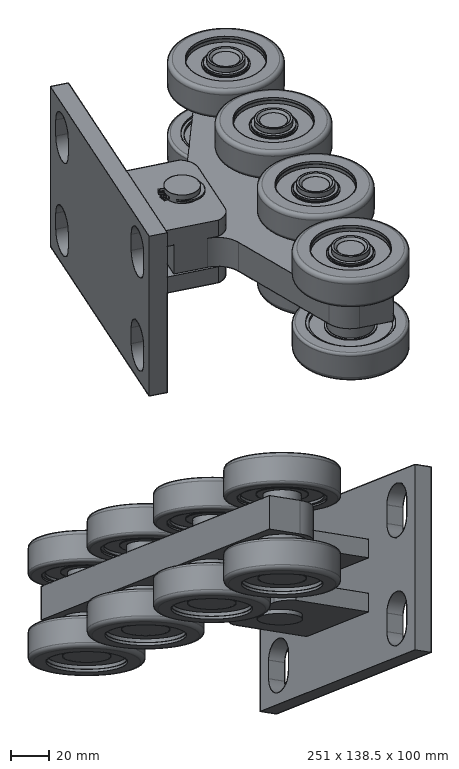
import cadquery as cq

PLATE_LENGTH = 150.5
PLATE_HEIGHT = 100.0
PLATE_THICKNESS = 10.0
SLOT_WIDTH = 19.0
SLOT_LENGTH = 29.0
SLOT_X = 57.5
SLOT_Z = 29.0

FORK_HALF_WIDTH = 30.0
FORK_TIP_Y = 62.0
FORK_TIP_HALF_WIDTH = 20.0
FORK_SHOULDER_Y = 55.0
FORK_HALF_GAP = 9.5
FORK_THICKNESS = 10.0
FORK_OUTER_Z = FORK_HALF_GAP + FORK_THICKNESS

PIN_Y = 45.7
PIN_DIAMETER = 19.0
PIN_TOP_Z = 24.8
PIN_HEAD_DIAMETER = 23.5
PIN_HEAD_HEIGHT = 2.3
RING_DIAMETER = 21.0
RING_OFFSET = 1.5
RING_BOTTOM_Z = 20.8
RING_THICKNESS = 1.0
EAR_WIDTH = 4.0
EAR_ANGLE = 15.0
EAR_REACH = 12.5
EAR_HOLE_DIAMETER = 2.0
EAR_HOLE_REACH = 11.0

ARM_TOP_Z = FORK_HALF_GAP
ARM_THICKNESS = 18.0
ARM_BOTTOM_Z = ARM_TOP_Z - ARM_THICKNESS
ARM_HALF_LENGTH = 111.0
ARM_BACK_Y = 122.5
ARM_END_Y = 93.9
ARM_NECK_Y = 58.7
ARM_FRONT_Y = 30.0
ARM_RADIUS = 15.0

OVERALL_LENGTH = 251.0
OVERALL_DEPTH = 138.5
WHEEL_DIAMETER = 61.0
WHEEL_WIDTH = 17.3
OUTER_EDGE_RADIUS = 2.5
INNER_EDGE_RADIUS = 1.5
UPPER_WHEEL_TOP_Z = 31.4
LOWER_WHEEL_BOTTOM_Z = -32.0
END_WHEEL_X = (OVERALL_LENGTH - WHEEL_DIAMETER) / 2
INNER_WHEEL_X = 32.0
INNER_WHEEL_Y = OVERALL_DEPTH - WHEEL_DIAMETER / 2
END_WHEEL_SETBACK = 3.5
END_WHEEL_Y = INNER_WHEEL_Y - END_WHEEL_SETBACK

OUTER_RECESS_DIAMETER = 42.0
OUTER_RECESS_DEPTH = 3.5
OUTER_LIP_DIAMETER = 42.5
OUTER_LIP_DEPTH = 1.5
INNER_RECESS_DIAMETER = 43.7
INNER_RECESS_DEPTH = 2.5
INNER_LIP_DIAMETER = 47.0
INNER_LIP_DEPTH = 1.0
OUTER_RACE_DIAMETER = 25.3
INNER_RACE_DIAMETER = 27.4
RACE_HEIGHT = 0.5

AXLE_DIAMETER = 20.0
AXLE_TOP_Z = 32.4
SPACER_DIAMETER = 25.0
COLLAR_DIAMETER = 23.5
COLLAR_HEIGHT = 1.5
DIMPLE_DIAMETER = 17.5
DIMPLE_FLOOR_DIAMETER = 14.5
DIMPLE_DEPTH = 1.3


def disc(diameter, bottom_z, top_z, x=0.0, y=0.0):
    """Upright cylinder between two heights."""
    base = cq.Workplane("XY", origin=(x, y, bottom_z))
    return base.circle(diameter / 2).extrude(top_z - bottom_z)


def make_plate():
    plate = cq.Workplane("XY").box(
        PLATE_LENGTH, PLATE_THICKNESS, PLATE_HEIGHT, centered=(True, False, True)
    )
    slot_centres = [(x, z) for x in (-SLOT_X, SLOT_X) for z in (-SLOT_Z, SLOT_Z)]
    slots = (
        cq.Workplane("XZ")
        .pushPoints(slot_centres)
        .slot2D(SLOT_LENGTH, SLOT_WIDTH, 90)
        .extrude(-PLATE_THICKNESS)
    )
    return plate.cut(slots)


def make_fork_lug(bottom_z):
    """Lug whose corner arcs run smoothly into the straight tip."""
    corner_run = FORK_HALF_WIDTH - FORK_TIP_HALF_WIDTH
    corner_drop = FORK_TIP_Y - FORK_SHOULDER_Y
    corner_radius = (corner_run**2 + corner_drop**2) / (2 * corner_drop)
    return (
        cq.Workplane("XY", origin=(0, 0, bottom_z))
        .moveTo(-FORK_HALF_WIDTH, PLATE_THICKNESS)
        .lineTo(-FORK_HALF_WIDTH, FORK_SHOULDER_Y)
        .radiusArc((-FORK_TIP_HALF_WIDTH, FORK_TIP_Y), corner_radius)
        .lineTo(FORK_TIP_HALF_WIDTH, FORK_TIP_Y)
        .radiusArc((FORK_HALF_WIDTH, FORK_SHOULDER_Y), corner_radius)
        .lineTo(FORK_HALF_WIDTH, PLATE_THICKNESS)
        .close()
        .extrude(FORK_THICKNESS)
    )


def make_pivot_pin():
    head_bottom_z = -FORK_OUTER_Z - PIN_HEAD_HEIGHT
    head = disc(PIN_HEAD_DIAMETER, head_bottom_z, -FORK_OUTER_Z, y=PIN_Y)
    return head.union(disc(PIN_DIAMETER, -FORK_OUTER_Z, PIN_TOP_Z, y=PIN_Y))


def make_retaining_ring():
    """Eccentric ring with two pierced ears on its plate side."""
    ring_top_z = RING_BOTTOM_Z + RING_THICKNESS
    ring = disc(RING_DIAMETER, RING_BOTTOM_Z, ring_top_z, y=PIN_Y + RING_OFFSET)
    ear = cq.Workplane("XY", origin=(0, 0, RING_BOTTOM_Z)).box(
        EAR_WIDTH, EAR_REACH, RING_THICKNESS, centered=(True, False, False)
    )
    ear = ear.translate((0, PIN_Y - EAR_REACH, 0))
    hole_y = PIN_Y - EAR_HOLE_REACH
    ear = ear.cut(disc(EAR_HOLE_DIAMETER, RING_BOTTOM_Z, ring_top_z, y=hole_y))
    for angle in (-EAR_ANGLE, EAR_ANGLE):
        ring = ring.union(ear.rotate((0, PIN_Y, 0), (0, PIN_Y, 1), angle))
    return ring


def make_arm():
    right_side = [
        (ARM_HALF_LENGTH, ARM_BACK_Y),
        (ARM_HALF_LENGTH, ARM_END_Y),
        (FORK_HALF_WIDTH, ARM_NECK_Y),
        (FORK_HALF_WIDTH, ARM_FRONT_Y),
    ]
    left_side = [(-x, y) for x, y in reversed(right_side)]
    arm = (
        cq.Workplane("XY", origin=(0, 0, ARM_BOTTOM_Z))
        .polyline(right_side + left_side)
        .close()
        .extrude(ARM_THICKNESS)
    )
    for x, y in right_side[1:3] + left_side[1:3]:
        corner = cq.selectors.NearestToPointSelector((x, y, ARM_BOTTOM_Z + ARM_THICKNESS / 2))
        arm = arm.edges("|Z").edges(corner).fillet(ARM_RADIUS)
    return arm


def make_wheel():
    """Wheel standing on z = 0 with its outer face up, centred on the Z axis."""
    wheel = disc(WHEEL_DIAMETER, 0, WHEEL_WIDTH)
    wheel = wheel.faces(">Z").edges().fillet(OUTER_EDGE_RADIUS)
    wheel = wheel.faces("<Z").edges().fillet(INNER_EDGE_RADIUS)
    bearing_top_z = WHEEL_WIDTH - OUTER_RECESS_DEPTH
    race_top_z = bearing_top_z + RACE_HEIGHT
    return (
        wheel.cut(disc(OUTER_RECESS_DIAMETER, bearing_top_z, WHEEL_WIDTH))
        .cut(disc(OUTER_LIP_DIAMETER, WHEEL_WIDTH - OUTER_LIP_DEPTH, WHEEL_WIDTH))
        .cut(disc(INNER_RECESS_DIAMETER, 0, INNER_RECESS_DEPTH))
        .cut(disc(INNER_LIP_DIAMETER, 0, INNER_LIP_DEPTH))
        .union(disc(OUTER_RACE_DIAMETER, bearing_top_z, race_top_z))
        .union(disc(INNER_RACE_DIAMETER, INNER_RECESS_DEPTH - RACE_HEIGHT, INNER_RECESS_DEPTH))
    )


def make_wheel_pair():
    """Upper and lower wheel on one axle, centred on the Z axis."""
    upper_bottom_z = UPPER_WHEEL_TOP_Z - WHEEL_WIDTH
    lower_top_z = LOWER_WHEEL_BOTTOM_Z + WHEEL_WIDTH
    upper_wheel = make_wheel().translate((0, 0, upper_bottom_z))
    lower_wheel = make_wheel().mirror("XY").translate((0, 0, lower_top_z))

    bearing_top_z = UPPER_WHEEL_TOP_Z - OUTER_RECESS_DEPTH
    collar = disc(COLLAR_DIAMETER, bearing_top_z, bearing_top_z + COLLAR_HEIGHT)
    spacer = disc(SPACER_DIAMETER, lower_top_z - INNER_RECESS_DEPTH, ARM_BOTTOM_Z)

    axle = disc(AXLE_DIAMETER, ARM_BOTTOM_Z, AXLE_TOP_Z)
    dimple_floor_z = AXLE_TOP_Z - DIMPLE_DEPTH
    dimple = (
        cq.Workplane("XY", origin=(0, 0, dimple_floor_z))
        .circle(DIMPLE_FLOOR_DIAMETER / 2)
        .workplane(offset=DIMPLE_DEPTH)
        .circle(DIMPLE_DIAMETER / 2)
        .loft()
    )
    return upper_wheel.union(lower_wheel).union(collar).union(spacer).union(axle).cut(dimple)


result = make_plate()
for lug_bottom_z in (FORK_HALF_GAP, -FORK_OUTER_Z):
    result = result.union(make_fork_lug(lug_bottom_z))
result = result.union(make_pivot_pin()).union(make_retaining_ring()).union(make_arm())

wheel_pair = make_wheel_pair()
for side in (-1, 1):
    result = result.union(wheel_pair.translate((side * END_WHEEL_X, END_WHEEL_Y, 0)))
    result = result.union(wheel_pair.translate((side * INNER_WHEEL_X, INNER_WHEEL_Y, 0)))